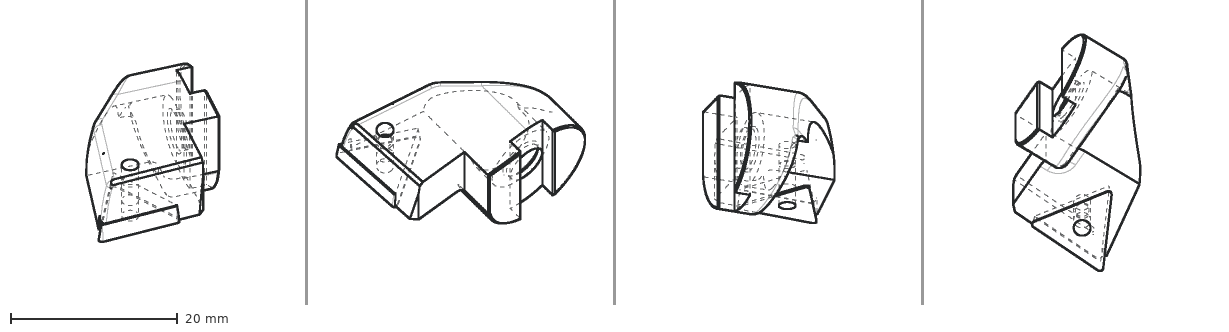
import cadquery as cq
import math


RING_RADIUS = 7.7
ARM_BACK_Y = -4.5

MARGIN = 4.85
BEYOND = 72.6

SIDE_FRONT_Y = -6.07
CORNER_X = 3.78
SLANT_ANGLE = 40
ARM_FRONT_ANGLE = 10
UPPER_SAG_RADIUS = 26.14
CORNER_ROUND = 3.0
OUTER_ROUND = 1.02

END_X = 15.8
END_Y = -7.67
LEAD_ANGLE = 3
RELIEF_ANGLE = 7
END_ROUND = 0.5
END_BEVEL = 0.44
BACK_CORNER_X = 14.93
BACK_CORNER_CUT = 1.7

LOWER_FRONT_Y = -6.6
LOWER_SAG_RADIUS = 19.35
NECK_ROUND = 1.45

COUNTERBORE_RADIUS = 4.48
BORE_RADIUS = 2.5
BORE_CHAMFER = 0.3
BORE_SEAT_Y = -3.15
SLOT_WIDTH = 5.08
SLOT_DEPTH = 2.08
BACK_CHAMFER = 0.2

INSERT_X = 13.1
INSERT_Y = -13.07
INSERT_INRADIUS = 3.17
INSERT_CORNERS = 3
INSERT_NOSE = 0.4
INSERT_HEIGHT = 2.42
INSERT_DROP = 0.3
NOTCH_START = 3.27
SCREW_X = 12.9
SCREW_Y = INSERT_Y
SCREW_RADIUS = 1.02
SCREW_CHAMFER = 0.2
SCREW_RECESS = 2.42


def tangent(degrees):
    return math.tan(math.radians(degrees))


def sag(height, radius):
    """Setback of a bulging wall at a height above or below its foremost line."""
    return radius - math.sqrt(radius**2 - height**2)


def bulged_prism(start, end):
    """Prism whose front wall is an arc in the YZ plane, carried from start to end (X, Y points)."""
    top = RING_RADIUS
    profile = (
        cq.Workplane("YZ", origin=(start[0], start[1], 0))
        .lineTo(BEYOND, 0)
        .lineTo(BEYOND, top)
        .lineTo(sag(top, UPPER_SAG_RADIUS), top)
        .threePointArc((sag(top / 2, UPPER_SAG_RADIUS), top / 2), (0, 0))
        .close()
    )
    face = cq.Face.makeFromWires(profile.val())
    direction = cq.Vector(end[0] - start[0], end[1] - start[1], 0)
    return cq.Workplane(cq.Solid.extrudeLinear(face, direction))


def end_block():
    """Region behind the free end of the arm, turned by the lead angle and leaning by the relief angle."""
    block = cq.Workplane("XY").box(BEYOND, BEYOND, BEYOND).translate((-BEYOND / 2, 0, 0))
    block = block.rotate((0, 0, 0), (0, 1, 0), -RELIEF_ANGLE)
    block = block.rotate((0, 0, 0), (0, 0, 1), LEAD_ANGLE)
    return block.translate((END_X, END_Y, 0))


def upper_half():
    """Half ring and arm above Z = 0 with all their roundings."""
    side = (-RING_RADIUS, SIDE_FRONT_Y)
    corner = (CORNER_X, SIDE_FRONT_Y - (CORNER_X + RING_RADIUS) * tangent(SLANT_ANGLE))
    reach = END_X + MARGIN
    tip = (reach, corner[1] - (reach - CORNER_X) * tangent(ARM_FRONT_ANGLE))
    body = bulged_prism(side, corner).union(bulged_prism(corner, tip))

    outline = (
        cq.Workplane("XZ")
        .moveTo(-RING_RADIUS, 0)
        .radiusArc((0, RING_RADIUS), RING_RADIUS)
        .lineTo(reach, RING_RADIUS)
        .lineTo(reach, 0)
        .close()
        .extrude(-tip[1])
    )
    body = body.intersect(outline)

    rear_gap = cq.Workplane("XY").box(reach, -ARM_BACK_Y, RING_RADIUS, centered=False)
    body = body.cut(rear_gap.translate((RING_RADIUS, ARM_BACK_Y, 0)))
    body = body.intersect(end_block())

    mid_height = RING_RADIUS / 2
    corner_front = corner[1] + sag(mid_height, UPPER_SAG_RADIUS)
    near_corner = cq.selectors.NearestToPointSelector((corner[0], corner_front, mid_height))
    body = body.edges(near_corner).fillet(CORNER_ROUND)

    body = body.faces(">Z").edges(">X").chamfer(END_BEVEL)
    top_front = (END_X - CORNER_X, corner[1], RING_RADIUS)
    body = body.edges(cq.selectors.NearestToPointSelector(top_front)).fillet(OUTER_ROUND)

    front_end = cq.selectors.NearestToPointSelector((END_X, INSERT_Y - MARGIN, mid_height))
    body = body.edges(front_end).fillet(END_ROUND)

    corner_cut = (
        cq.Workplane("XY")
        .moveTo(BACK_CORNER_X, ARM_BACK_Y)
        .line(BACK_CORNER_CUT, 0)
        .line(0, -BACK_CORNER_CUT)
        .close()
        .extrude(RING_RADIUS)
    )
    return body.cut(corner_cut)


def lower_half(upper):
    """Half ring below Z = 0, blended into the flat underside of the upper half."""
    bottom = -RING_RADIUS
    profile = (
        cq.Workplane("YZ", origin=(-RING_RADIUS, 0, 0))
        .lineTo(LOWER_FRONT_Y, 0)
        .threePointArc(
            (LOWER_FRONT_Y + sag(bottom / 2, LOWER_SAG_RADIUS), bottom / 2),
            (LOWER_FRONT_Y + sag(bottom, LOWER_SAG_RADIUS), bottom),
        )
        .lineTo(0, bottom)
        .close()
        .extrude(2 * RING_RADIUS)
    )
    disc = cq.Workplane("XZ").circle(RING_RADIUS).extrude(-2 * LOWER_FRONT_Y)
    boss = profile.intersect(disc)
    rim = cq.selectors.NearestToPointSelector((0, LOWER_FRONT_Y, bottom))
    boss = boss.edges(rim).fillet(OUTER_ROUND)

    plate = cq.Workplane("XY").rect(BEYOND, BEYOND).extrude(MARGIN)
    joined = boss.union(plate)
    neck = cq.selectors.NearestToPointSelector((0, LOWER_FRONT_Y, 0))
    joined = joined.edges(neck).fillet(NECK_ROUND)

    footprint = upper.faces("<Z").val()
    column = cq.Solid.extrudeLinear(footprint, cq.Vector(0, 0, bottom))
    blended = joined.intersect(cq.Workplane(column))

    right_side = cq.Workplane("XY").box(BEYOND, BEYOND, BEYOND).translate((BEYOND / 2, 0, 0))
    cylinder = cq.Workplane("XZ").circle(RING_RADIUS).extrude(BEYOND)
    return blended.intersect(right_side.union(cylinder))


def back_details(body):
    """Drive slot and chamfered back faces."""
    slot = cq.Workplane("XY").box(SLOT_WIDTH, 2 * SLOT_DEPTH, 3 * RING_RADIUS)
    return body.cut(slot).faces(">Y").edges().chamfer(BACK_CHAMFER)


def mounting_bore():
    """Through bore, its chamfered seat and the counterbore in front of it."""
    front = INSERT_Y - MARGIN
    profile = (
        cq.Workplane("XY")
        .lineTo(0, front)
        .lineTo(COUNTERBORE_RADIUS, front)
        .lineTo(COUNTERBORE_RADIUS, BORE_SEAT_Y)
        .lineTo(BORE_RADIUS + BORE_CHAMFER, BORE_SEAT_Y)
        .lineTo(BORE_RADIUS, BORE_SEAT_Y + BORE_CHAMFER)
        .lineTo(BORE_RADIUS, 0)
        .close()
    )
    return profile.revolve(360, (0, 0, 0), (0, 1, 0))


def make_screw():
    """Screw that holds the insert, its chamfered end sunk below the top of the head."""
    length = RING_RADIUS - SCREW_RECESS + INSERT_DROP
    screw = cq.Workplane("XY").circle(SCREW_RADIUS).extrude(length)
    screw = screw.faces(">Z").chamfer(SCREW_CHAMFER)
    return screw.translate((SCREW_X, SCREW_Y, -INSERT_DROP))


def insert_blank():
    """Triangular plate with round noses, tapering upward by the relief angle."""
    nose_distance = 2 * (INSERT_INRADIUS - INSERT_NOSE)
    blank = (
        cq.Workplane("XY")
        .polygon(INSERT_CORNERS, 2 * nose_distance)
        .offset2D(INSERT_NOSE)
        .extrude(INSERT_HEIGHT, taper=RELIEF_ANGLE)
    )
    blank = blank.rotate((0, 0, 0), (0, 0, 1), 180 + LEAD_ANGLE)
    return blank.translate((INSERT_X, INSERT_Y, -INSERT_DROP))


def screw_hole():
    """Hole through the insert and the head."""
    hole = cq.Workplane("XY").circle(SCREW_RADIUS).extrude(RING_RADIUS + INSERT_DROP)
    return hole.translate((SCREW_X, SCREW_Y, -INSERT_DROP))


def front_notch():
    """Clearance cut that bares the front flank of the insert near its cutting tip."""
    overlap = INSERT_INRADIUS / 2
    notch = cq.Workplane("XY").box(2 * MARGIN, MARGIN, INSERT_HEIGHT, centered=False)
    notch = notch.translate((NOTCH_START, overlap - INSERT_INRADIUS - MARGIN, -INSERT_DROP))
    notch = notch.rotate((0, 0, 0), (0, 0, 1), LEAD_ANGLE - 90 / INSERT_CORNERS)
    return notch.translate((INSERT_X, INSERT_Y, 0))


def make_insert():
    """Insert with its screw hole."""
    return insert_blank().cut(screw_hole())


def make_head():
    """Ring and arm with the bore, the drive slot, the insert pocket and the screw hole."""
    upper = upper_half()
    head = upper.union(lower_half(upper))
    head = back_details(head)
    return head.cut(mounting_bore()).cut(insert_blank()).cut(front_notch()).cut(screw_hole())


head = make_head()
insert = make_insert()
screw = make_screw()
result = cq.Compound.makeCompound([head.solids().val(), insert.solids().val(), screw.val()])